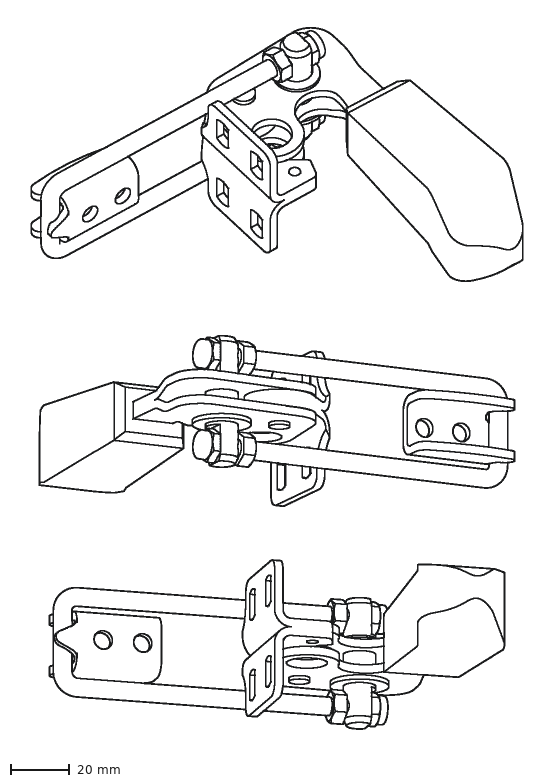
import cadquery as cq
import math


sheet = 3.0
span = 81.8

pin_dia = 11.2
pin_half_length = 22.0
pin_tip_bevel_height = 2.0
pin_tip_bevel_depth = 1.1
pin_flat_y = 2.9
pin_flat_start = 9.3
collar_dia = 16.1
collar_height = 1.1
collar_cone_height = 1.4
ring_dia = 20.0
ring_thickness = 1.5
ring_gap = 0.7

pivot = (-3.0, -20.5)
rivet_dia = 7.1
rivet_head_dia = 8.2
rivet_head_height = 1.6
rivet_tail_height = 1.2

lever_outer = 2 * sheet
lever_top_left = (-17.5, 21.3)
lever_lean = 3.0
lever_bottom_lean = 6.3
lever_top_radius = 9.5
lever_bottom_radius = 10.9
lobe_center = (17.0, -23.7)
lobe_radius = 11.0
lobe_hole_dia = 13.9
finger_center = (18.8, -3.3)
arm_end = 61.3
joggle_start = -1.9
joggle_direction = 42.0
joggle_slope = 30.0
joggle_inner_radius = 3.3

grip_bevel_x = 28.5
grip_heel = (100.0, -9.0)
grip_nose = (111.9, 13.1)
grip_shoulder = (83.1, 27.1)
grip_plan = [
    (24.3, 2.7),
    (28.2, 0.3),
    (75.8, -1.9),
    grip_heel,
    grip_nose,
    grip_shoulder,
    (grip_bevel_x, 26.6),
    (24.7, 24.3),
]
grip_round_corners = ((grip_heel, 7.6), (grip_nose, 8.2), (grip_shoulder, 12.3))
grip_end_x = 22.9
grip_end_half_height = 6.8
grip_bevel_half_height = 10.2
grip_crest_x = 80.0
grip_crest_half_height = 13.5
grip_nose_x = 103.0
grip_nose_half_height = 8.5
grip_crest_y = 12.3
grip_skew = -1.0

lug_radius = 12.0
bracket_edge_y = -30.1
bracket_face_y = -42.0
bracket_right = 40.1
bend_inner_radius = 2.9
foot_left = 5.3
foot_half_height = 24.0
foot_corner_radius = 4.1
foot_relief_radius = 11.0
foot_relief_z = 16.0
ear_peak = (32.5, -19.1)
ear_peak_radius = 1.4
ear_corner_y = -21.8
ear_corner_radius = 2.5
ear_foot_x = 24.1
lug_side_x = 4.0
ear_hole = (33.8, -26.7)
ear_hole_dia = 4.0
slot_width = 6.3
slot_length = 10.6
slot_end_rise = 1.0
slot_xs = (13.4, 32.3)
slot_z = 14.2

rod_dia = 6.4
rod_z = 16.0
bail_end_y = -108.4
bail_bend_radius = 5.2
bail_tilt = -0.25
nut_flats = 10.4
nut_face_dia = 10.1
nut_bevel = 0.5
front_nut_y = -5.9
front_nut_height = 4.8
rear_nut_height = 3.1
nut_collar_dia = 10.0
nut_collar_height = 2.9
nut_collar_round = 0.8

catch_half_width = 10.5
catch_floor_x = 5.2
catch_top_y = -71.7
catch_floor_end_y = -101.7
catch_bend_radius = 2.0
catch_lip_x = -8.5
catch_lip_y = -74.8
catch_top_x = -4.9
catch_lip_bulge = (-7.8, -73.3)
catch_back_bulge = (-10.4, -90.0)
catch_horn_start = (-9.7, -105.2)
catch_horn_tip = (-7.1, -107.8)
catch_horn_end = (-4.2, -106.3)
catch_hole_dia = 6.4
catch_hole_ys = (-78.4, -92.4)
tongue_tip_y = -109.2
tongue_tip_radius = 2.2
tongue_root_radius = 3.0
tongue_half_angle = 27.0
tongue_bevel_depth = 1.1
tongue_bevel_length = 1.6

bar_y = bail_end_y + rod_dia / 2
bar_center = (-bar_y * math.sin(math.radians(bail_tilt)), bar_y * math.cos(math.radians(bail_tilt)))
finger_to_lobe = math.dist(finger_center, lobe_center)
finger_radius = finger_to_lobe - lobe_radius
arm_low = finger_center[1] + finger_radius
arm_high = lever_top_left[1]


def disc(center, diameter, z_low, z_high):
    """Upright cylinder between two heights."""
    base = cq.Workplane("XY", origin=(*center, z_low))
    return base.circle(diameter / 2).extrude(z_high - z_low)


def y_cylinder(diameter, z, y_start, length):
    """Cylinder at X = 0 that runs from y_start towards +Y."""
    return cq.Workplane("XZ", origin=(0, y_start, z)).circle(diameter / 2).extrude(-length)


def block(x_range, y_range, z_range):
    """Box between the given limits."""
    size = [high - low for low, high in (x_range, y_range, z_range)]
    corner = (x_range[0], y_range[0], z_range[0])
    return cq.Workplane("XY", origin=corner).box(*size, centered=False)


def round_corner(body, axis, point, radius):
    """Fillet the edge along the axis that lies nearest to the point."""
    nearest = cq.selectors.NearestToPointSelector(point)
    return body.edges("|" + axis).edges(nearest).fillet(radius)


def both_sides(body):
    """Body joined with its mirror image below Z = 0."""
    return body.union(body.mirror("XY"))


def lever_blank():
    """Flat outline of one lever plate with arm, finger recess and lobe."""
    toward_lobe = [(b - a) / finger_to_lobe for a, b in zip(finger_center, lobe_center)]
    meeting = [c + finger_radius * d for c, d in zip(finger_center, toward_lobe)]
    lean = math.radians(lever_bottom_lean)
    lobe_bottom = (
        lobe_center[0] - lobe_radius * math.sin(lean),
        lobe_center[1] - lobe_radius * math.cos(lean),
    )
    rear_slope = math.tan(math.radians(lever_lean))
    low_slope = math.tan(lean)
    x_top, y_top = lever_top_left
    drop = y_top - lobe_bottom[1] - low_slope * (lobe_bottom[0] - x_top)
    drop = drop / (1 - low_slope * rear_slope)
    low_corner = (x_top + drop * rear_slope, y_top - drop)
    blank = (
        cq.Workplane("XY")
        .moveTo(*lever_top_left)
        .lineTo(arm_end, arm_high)
        .lineTo(arm_end, arm_low)
        .lineTo(finger_center[0], arm_low)
        .threePointArc((finger_center[0] - finger_radius, finger_center[1]), tuple(meeting))
        .threePointArc((lobe_center[0] + lobe_radius, lobe_center[1]), lobe_bottom)
        .lineTo(*low_corner)
        .close()
        .extrude(lever_outer)
    )
    blank = round_corner(blank, "Z", (*lever_top_left, 0), lever_top_radius)
    return round_corner(blank, "Z", (*low_corner, 0), lever_bottom_radius)


def joggled_sheet():
    """Wide sheet that steps down by its own thickness across slanted bends."""
    slope = math.radians(joggle_slope)
    sin_s, cos_s = math.sin(slope), math.cos(slope)
    sin_h, cos_h = math.sin(slope / 2), math.cos(slope / 2)
    inner = joggle_inner_radius
    outer = inner + sheet
    ramp = (sheet - (outer + inner) * (1 - cos_s)) / math.tan(slope)
    end = (outer + inner) * sin_s + ramp
    high_z = lever_outer - outer
    low_z = sheet + inner

    heading = math.radians(joggle_direction)
    across = (math.cos(heading), math.sin(heading), 0)
    along = (math.sin(heading), -math.cos(heading), 0)
    section = cq.Workplane(cq.Plane((joggle_start, arm_high, 0), across, along))
    return (
        section.moveTo(-span, lever_outer)
        .lineTo(0, lever_outer)
        .threePointArc((outer * sin_h, high_z + outer * cos_h), (outer * sin_s, high_z + outer * cos_s))
        .lineTo(end - inner * sin_s, low_z - inner * cos_s)
        .threePointArc((end - inner * sin_h, low_z - inner * cos_h), (end, sheet))
        .lineTo(span, sheet)
        .lineTo(span, 0)
        .lineTo(end, 0)
        .threePointArc(
            (end - outer * sin_h, low_z - outer * cos_h),
            (end - outer * sin_s, low_z - outer * cos_s),
        )
        .lineTo(inner * sin_s, high_z + inner * cos_s)
        .threePointArc((inner * sin_h, high_z + inner * cos_h), (0, sheet))
        .lineTo(-span, sheet)
        .close()
        .extrude(span, both=True)
    )


def make_lever():
    """Two joggled plates joined along the arm."""
    lever = both_sides(lever_blank().intersect(joggled_sheet()))
    for center, diameter in (((0, 0), pin_dia), (pivot, rivet_dia), (lobe_center, lobe_hole_dia)):
        lever = lever.cut(disc(center, diameter, -lever_outer, lever_outer))
    return lever


def make_grip():
    """Handle shaped by its plan and its thickness, with a pocket for the arm."""
    plan = cq.Workplane("XY").polyline(grip_plan).close().extrude(span, both=True)
    for corner, radius in grip_round_corners:
        plan = round_corner(plan, "Z", (*corner, 0), radius)

    fall = (grip_crest_half_height - grip_nose_half_height) / (grip_nose_x - grip_crest_x)
    nose_center_x = grip_nose_x - grip_nose_half_height * fall
    nose_radius = grip_nose_half_height * math.hypot(1, fall)
    upper = [
        (grip_end_x, grip_end_half_height),
        (grip_bevel_x, grip_bevel_half_height),
        (grip_crest_x, grip_crest_half_height),
        (grip_nose_x, grip_nose_half_height),
    ]
    lower = [(x, -z) for x, z in reversed(upper)]
    thickness = (
        cq.Workplane("XZ", origin=(0, grip_crest_y, 0))
        .polyline(upper)
        .threePointArc((nose_center_x + nose_radius, 0), lower[0])
        .polyline(lower[1:], includeCurrent=True)
        .close()
        .extrude(span, both=True)
        .rotate((grip_crest_x, grip_crest_y, 0), (grip_crest_x, grip_crest_y, 1), grip_skew)
    )
    pocket = block((0, arm_end), (arm_low, arm_high), (-sheet, sheet))
    return plan.intersect(thickness).cut(pocket)


def bracket_plate(bend_start_y):
    """Double-thickness upright plate with the round lug and the drilled ear."""
    diagonal = lug_radius * math.sqrt(0.5)
    tangent = (pivot[0] - diagonal, pivot[1] - diagonal)
    ear_corner = (bracket_right, ear_corner_y)
    plate = (
        cq.Workplane("XY")
        .polyline([
            pivot,
            tangent,
            (tangent[0] + tangent[1] - bend_start_y, bend_start_y),
            (bracket_right, bend_start_y),
            ear_corner,
            ear_peak,
            (ear_foot_x, bracket_edge_y),
            (lug_side_x, bracket_edge_y),
        ])
        .close()
        .extrude(sheet, both=True)
    )
    plate = round_corner(plate, "Z", (*ear_peak, 0), ear_peak_radius)
    plate = round_corner(plate, "Z", (*ear_corner, 0), ear_corner_radius)
    plate = plate.union(disc(pivot, 2 * lug_radius, -sheet, sheet))
    return plate.cut(disc(ear_hole, ear_hole_dia, -sheet, sheet))


def bracket_foot(bend_start_y, left):
    """Upper bend and mounting foot, swept along X and trimmed at both ends."""
    outer = bend_inner_radius + sheet
    half = math.sqrt(0.5)
    foot = (
        cq.Workplane("YZ", origin=(left, 0, 0))
        .moveTo(bend_start_y, 0)
        .threePointArc((bend_start_y - outer * half, outer * (1 - half)), (bracket_face_y, outer))
        .lineTo(bracket_face_y, foot_half_height)
        .lineTo(bracket_face_y + sheet, foot_half_height)
        .lineTo(bracket_face_y + sheet, outer)
        .threePointArc(
            (bend_start_y - bend_inner_radius * half, outer - bend_inner_radius * half),
            (bend_start_y, sheet),
        )
        .close()
        .extrude(bracket_right - left)
    )
    relief_center = (foot_left - foot_relief_radius, bend_start_y, foot_relief_z)
    relief = cq.Workplane("XZ", origin=relief_center).circle(foot_relief_radius).extrude(span)
    above = block((left, foot_left), (bracket_face_y, bend_start_y), (foot_relief_z, foot_half_height))
    foot = foot.cut(relief).cut(above)
    for x in (foot_left, bracket_right):
        foot = round_corner(foot, "Y", (x, bracket_face_y, foot_half_height), foot_corner_radius)
    for x in slot_xs:
        foot = foot.cut(foot_slot(x))
    return foot


def foot_slot(x):
    """Upright slot with shallow round ends."""
    side = slot_length / 2 - slot_end_rise
    return (
        cq.Workplane("XZ", origin=(x, bracket_face_y + sheet, slot_z))
        .moveTo(-slot_width / 2, -side)
        .threePointArc((0, -slot_length / 2), (slot_width / 2, -side))
        .lineTo(slot_width / 2, side)
        .threePointArc((0, slot_length / 2), (-slot_width / 2, side))
        .close()
        .extrude(sheet)
    )


def make_bracket():
    """Bracket with the pivot rivet that carries the lever."""
    bend_start_y = bracket_face_y + sheet + bend_inner_radius
    diagonal_sum = pivot[0] + pivot[1] - lug_radius * math.sqrt(2)
    left = diagonal_sum - bend_start_y
    slant = (
        cq.Workplane("XY")
        .polyline([
            (left, bend_start_y),
            (left, bracket_face_y),
            (diagonal_sum - bracket_face_y, bracket_face_y),
        ])
        .close()
        .extrude(span, both=True)
    )
    foot = bracket_foot(bend_start_y, left).cut(slant)
    bracket = bracket_plate(bend_start_y).union(both_sides(foot))
    shank = disc(pivot, rivet_dia, -lever_outer - rivet_tail_height, lever_outer)
    head = disc(pivot, rivet_head_dia, lever_outer, lever_outer + rivet_head_height)
    return bracket.union(shank).union(head)


def make_cross_pin():
    """Pin with collar, retaining ring, nut flats and two rod holes."""
    radius = pin_dia / 2
    collar_top = lever_outer + collar_height
    ring_top = -lever_outer - ring_gap
    bevel_z = pin_half_length - pin_tip_bevel_height
    tip_radius = radius - pin_tip_bevel_depth
    pin = (
        cq.Workplane("XZ")
        .polyline([
            (0, -pin_half_length),
            (tip_radius, -pin_half_length),
            (radius, -bevel_z),
            (radius, ring_top - ring_thickness),
            (ring_dia / 2, ring_top - ring_thickness),
            (ring_dia / 2, ring_top),
            (radius, ring_top),
            (radius, lever_outer),
            (collar_dia / 2, lever_outer),
            (collar_dia / 2, collar_top),
            (radius, collar_top + collar_cone_height),
            (radius, bevel_z),
            (tip_radius, pin_half_length),
            (0, pin_half_length),
        ])
        .close()
        .revolve(360, (0, 0, 0), (0, 1, 0))
    )
    for side in (-1, 1):
        heights = sorted((side * pin_flat_start, side * pin_half_length))
        pin = pin.cut(block((-radius, radius), (pin_flat_y, radius), heights))
        pin = pin.cut(y_cylinder(rod_dia, side * rod_z, -pin_dia, 2 * pin_dia))
    return pin


def make_nut(z, y_start, height, beveled_end_y):
    """Hexagon nut with corners up and down, bevelled at one end."""
    corner_dia = nut_flats / math.cos(math.radians(30))
    nut = (
        cq.Workplane("XZ", origin=(0, y_start, z))
        .transformed(rotate=(0, 0, 90))
        .polygon(6, corner_dia)
        .extrude(-height)
    )
    bevel = y_cylinder(corner_dia, z, y_start, height)
    end = cq.selectors.NearestToPointSelector((0, beveled_end_y, z))
    bevel = bevel.faces(end).chamfer(nut_bevel, (corner_dia - nut_face_dia) / 2)
    return nut.intersect(bevel)


def make_bail():
    """U-shaped rod with a front nut and a rear lock nut on each leg."""
    rod_end_y = pin_flat_y + rear_nut_height
    leg_end_y = bar_y + bail_bend_radius
    bar_half = rod_z - bail_bend_radius
    bend = bail_bend_radius * (1 - math.sqrt(0.5))
    path = (
        cq.Workplane("YZ")
        .moveTo(rod_end_y, rod_z)
        .lineTo(leg_end_y, rod_z)
        .threePointArc((bar_y + bend, rod_z - bend), (bar_y, bar_half))
        .lineTo(bar_y, -bar_half)
        .threePointArc((bar_y + bend, bend - rod_z), (leg_end_y, -rod_z))
        .lineTo(rod_end_y, -rod_z)
    )
    bail = cq.Workplane("XZ", origin=(0, rod_end_y, rod_z)).circle(rod_dia / 2).sweep(path)
    front_y = front_nut_y - front_nut_height
    for z in (-rod_z, rod_z):
        bail = bail.union(make_nut(z, front_y, front_nut_height, front_y))
        bail = bail.union(make_nut(z, pin_flat_y, rear_nut_height, rod_end_y))
        collar = y_cylinder(nut_collar_dia, z, rod_end_y, nut_collar_height)
        bail = bail.union(collar.faces(">Y").edges().fillet(nut_collar_round))
    return bail


def catch_tongue():
    """Pointed end of the catch floor."""
    angle = math.radians(tongue_half_angle)
    sin_a, cos_a = math.sin(angle), math.cos(angle)
    tip_y = tongue_tip_y + tongue_tip_radius * (1 - sin_a)
    tip_z = tongue_tip_radius * cos_a
    root_y = catch_floor_end_y - tongue_root_radius * (1 - sin_a)
    root_z = tip_z + (root_y - tip_y) * math.tan(angle)
    edge_z = root_z + tongue_root_radius * cos_a
    middle = math.radians((90 + tongue_half_angle) / 2)
    mid_y = catch_floor_end_y - tongue_root_radius * (1 - math.sin(middle))
    mid_z = edge_z - tongue_root_radius * math.cos(middle)
    inner_x = catch_floor_x - sheet
    tongue = (
        cq.Workplane("YZ", origin=(inner_x, 0, 0))
        .moveTo(catch_floor_end_y, edge_z)
        .threePointArc((mid_y, mid_z), (root_y, root_z))
        .lineTo(tip_y, tip_z)
        .threePointArc((tongue_tip_y, 0), (tip_y, -tip_z))
        .lineTo(root_y, -root_z)
        .threePointArc((mid_y, -mid_z), (catch_floor_end_y, -edge_z))
        .close()
        .extrude(sheet)
    )
    bevel = (
        cq.Workplane("XY")
        .polyline([
            (inner_x, tongue_tip_y + tongue_bevel_length),
            (inner_x, tongue_tip_y),
            (inner_x + tongue_bevel_depth, tongue_tip_y),
        ])
        .close()
        .extrude(tongue_tip_radius, both=True)
    )
    return tongue.cut(bevel)


def make_catch():
    """Channel with two horned sides that hold the bar of the bail."""
    body = (
        cq.Workplane("XY")
        .moveTo(catch_floor_x, catch_top_y)
        .lineTo(catch_top_x, catch_top_y)
        .threePointArc(catch_lip_bulge, (catch_lip_x, catch_lip_y))
        .threePointArc(catch_back_bulge, catch_horn_start)
        .threePointArc(catch_horn_tip, catch_horn_end)
        .lineTo(bar_center[0] - rod_dia / 2, bar_center[1])
        .lineTo(*bar_center)
        .lineTo(bar_center[0], catch_floor_end_y)
        .lineTo(catch_floor_x, catch_floor_end_y)
        .close()
        .extrude(catch_half_width, both=True)
    )
    body = body.edges("|Y and >X").fillet(catch_bend_radius + sheet)
    inner_half = catch_half_width - sheet
    channel = block((-span, catch_floor_x - sheet), (-2 * span, 0), (-inner_half, inner_half))
    channel = channel.edges("|Y and >X").fillet(catch_bend_radius)
    catch = body.cut(channel).union(catch_tongue())
    catch = catch.cut(disc(bar_center, rod_dia, -catch_half_width, catch_half_width))
    for y in catch_hole_ys:
        hole = cq.Workplane("YZ").center(y, 0).circle(catch_hole_dia / 2).extrude(catch_floor_x)
        catch = catch.cut(hole)
    return catch


bracket = make_bracket()
lever = make_lever()
grip = make_grip()
cross_pin = make_cross_pin().rotate((0, 0, 0), (0, 0, 1), bail_tilt)
bail = make_bail().rotate((0, 0, 0), (0, 0, 1), bail_tilt)
catch = make_catch()

result = cq.Compound.makeCompound([
    bracket.solids().val(),
    lever.solids().val(),
    grip.solids().val(),
    cross_pin.solids().val(),
    bail.solids().val(),
    catch.solids().val(),
])